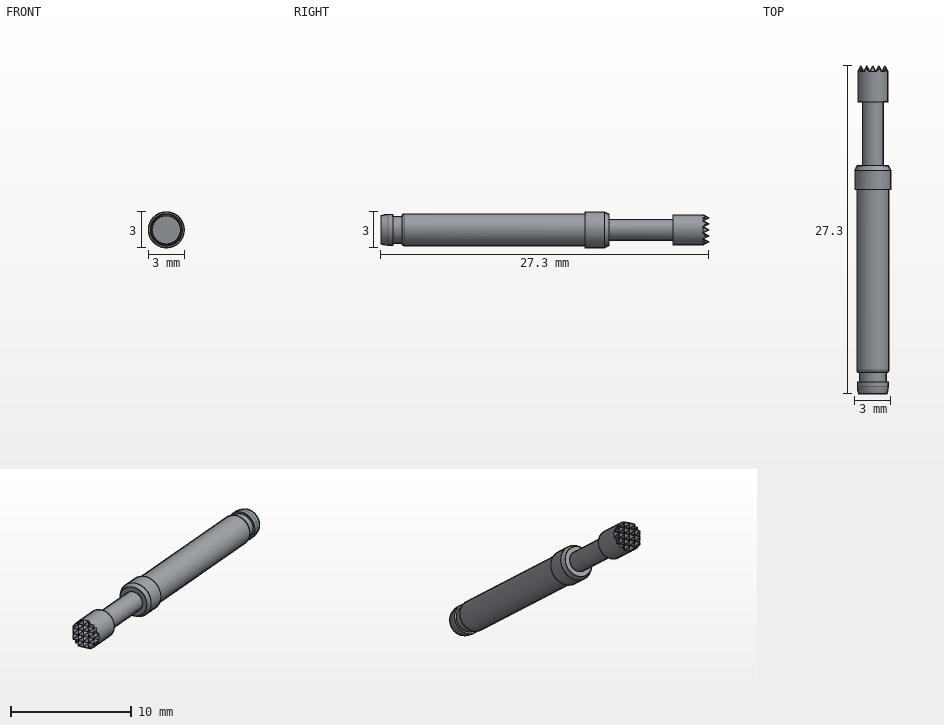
import cadquery as cq
import math


total_length = 27.3
head_length = 3.0
collar_front = 19.0
collar_length = 2.0
barrel_end = 1.77
tail_length = 1.0

head_radius = 2.5 / 2
plunger_radius = 1.75 / 2
collar_radius = 3.0 / 2
collar_face_radius = 2.6 / 2
barrel_radius = 2.67 / 2
barrel_face_radius = 2.32 / 2
neck_radius = 2.25 / 2
tail_radius = 2.58 / 2
tail_face_radius = 2.35 / 2

collar_chamfer_length = 0.4
barrel_round_length = 0.2
tail_round_length = 0.6

tooth_pitch = 0.5
groove_angle = 55.0
grooves_per_side = 3

head_back = total_length - head_length
collar_back = collar_front - collar_length
collar_chamfer_start = collar_front - collar_chamfer_length
barrel_round_start = barrel_end + barrel_round_length
tooth_height = tooth_pitch / 2 / math.tan(math.radians(groove_angle / 2))


def arc_middle(side_radius, face_radius, side_y, face_y):
    """Middle of the arc that leaves a side tangentially at side_y and ends on a face at face_y."""
    inset = side_radius - face_radius
    length = face_y - side_y
    arc_radius = (length**2 + inset**2) / (2 * inset)
    half_angle = math.asin(length / arc_radius) / 2
    radius = side_radius - arc_radius * (1 - math.cos(half_angle))
    return radius, side_y + arc_radius * math.sin(half_angle)


def make_probe_body():
    """Revolve the half profile (radius, Y), drawn from the tail to the head, about the Y axis."""
    tail_arc = arc_middle(tail_radius, tail_face_radius, tail_round_length, 0)
    barrel_arc = arc_middle(barrel_radius, barrel_face_radius, barrel_round_start, barrel_end)
    return (
        cq.Workplane("XY")
        .moveTo(0, 0)
        .lineTo(tail_face_radius, 0)
        .threePointArc(tail_arc, (tail_radius, tail_round_length))
        .lineTo(tail_radius, tail_length)
        .lineTo(neck_radius, tail_length)
        .lineTo(neck_radius, barrel_end)
        .lineTo(barrel_face_radius, barrel_end)
        .threePointArc(barrel_arc, (barrel_radius, barrel_round_start))
        .lineTo(barrel_radius, collar_back)
        .lineTo(collar_radius, collar_back)
        .lineTo(collar_radius, collar_chamfer_start)
        .lineTo(collar_face_radius, collar_front)
        .lineTo(plunger_radius, collar_front)
        .lineTo(plunger_radius, head_back)
        .lineTo(head_radius, head_back)
        .lineTo(head_radius, total_length)
        .lineTo(0, total_length)
        .close()
        .revolve(360, (0, 0, 0), (0, 1, 0))
    )


def make_groove(center_x):
    """V groove running along Z, with its bottom at center_x and its top on the head's end."""
    return (
        cq.Workplane("XY")
        .moveTo(center_x - tooth_pitch / 2, total_length)
        .lineTo(center_x, total_length - tooth_height)
        .lineTo(center_x + tooth_pitch / 2, total_length)
        .close()
        .extrude(2 * head_radius, both=True)
    )


def cut_teeth(body):
    """Cut the grooves along Z and along X so that a pyramid remains on the head's axis."""
    for index in range(2 * grooves_per_side):
        center_x = (index - grooves_per_side + 0.5) * tooth_pitch
        groove = make_groove(center_x)
        body = body.cut(groove)
        body = body.cut(groove.rotate((0, 0, 0), (0, 1, 0), 90))
    return body


result = cut_teeth(make_probe_body())